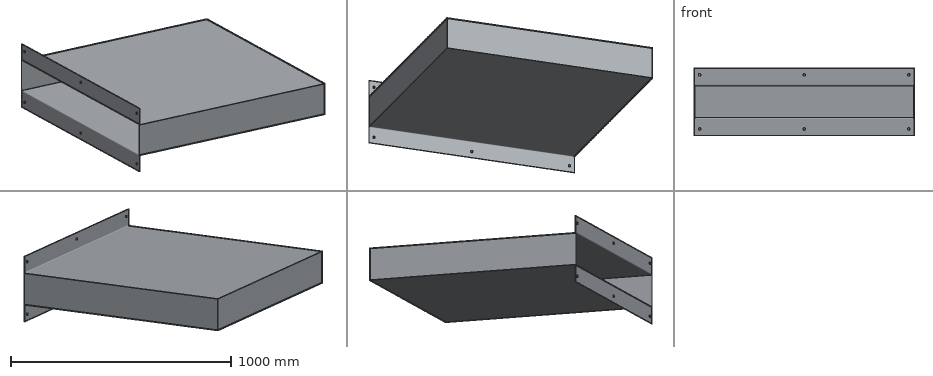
import cadquery as cq

width = 1000.0
depth = 1000.0
total_height = 306.0
box_height = 150.0
sheet = 3.0
bend_inner_radius = 3.0
bend_outer_radius = bend_inner_radius + sheet

hole_diameter = 10.0
hole_side_inset = 25.0
hole_edge_inset = 30.0

front_y = -depth / 2
flange_back_y = front_y + sheet
box_top = box_height / 2
cavity_top = box_top - sheet
flange_top = total_height / 2
hole_x = width / 2 - hole_side_inset
hole_z = flange_top - hole_edge_inset


def make_box():
    """Hollow box, open only at the front."""
    outer = cq.Workplane("XY").box(width, depth, box_height)
    cavity = (
        cq.Workplane("XY")
        .box(width - 2 * sheet, depth - sheet, box_height - 2 * sheet)
        .translate((0, -sheet / 2, 0))
    )
    return outer.cut(cavity)


def make_upper_flange():
    """Upright flange with the rounded bend that joins it to the box top."""
    return (
        cq.Workplane("YZ")
        .moveTo(front_y, flange_top)
        .lineTo(front_y, cavity_top + bend_outer_radius)
        .radiusArc((front_y + bend_outer_radius, cavity_top), -bend_outer_radius)
        .lineTo(front_y + bend_outer_radius, box_top)
        .radiusArc((flange_back_y, box_top + bend_inner_radius), bend_inner_radius)
        .lineTo(flange_back_y, flange_top)
        .close()
        .extrude(width / 2, both=True)
    )


def make_bend_clearance():
    """Front corner of the box top, inside the gap between the two side walls, that the bend replaces."""
    return (
        cq.Workplane("XY")
        .box(width - 2 * sheet, bend_outer_radius, sheet)
        .translate((0, front_y + bend_outer_radius / 2, box_top - sheet / 2))
    )


def make_holes():
    """Three mounting holes through each flange."""
    centers = [(x, z) for x in (-hole_x, 0, hole_x) for z in (-hole_z, hole_z)]
    return (
        cq.Workplane("XZ", origin=(0, flange_back_y, 0))
        .pushPoints(centers)
        .circle(hole_diameter / 2)
        .extrude(sheet)
    )


upper_flange = make_upper_flange()
bend_clearance = make_bend_clearance()

result = (
    make_box()
    .cut(bend_clearance)
    .cut(bend_clearance.mirror("XY"))
    .union(upper_flange)
    .union(upper_flange.mirror("XY"))
    .cut(make_holes())
)